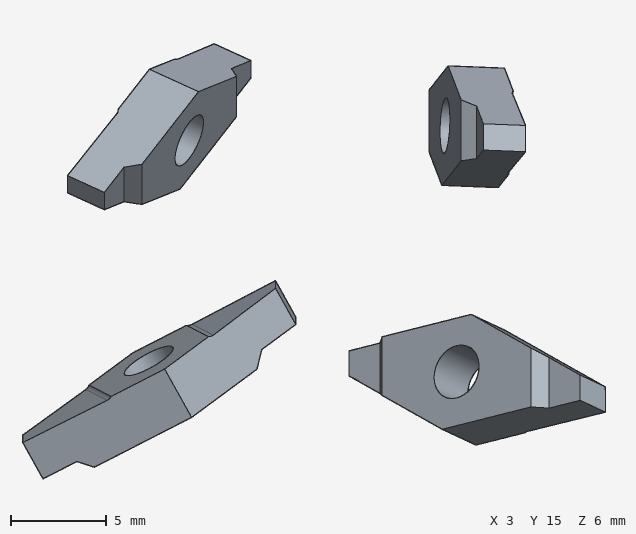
import cadquery as cq
import math

thickness = 3.0
length = 15.0
height = 6.0
flank_angle = 35.0
end_height = 1.41
hole_diameter = 2.91

ledge_x = 0.8
ledge_start = 5.49
shoulder_start = 4.83

step_angle = 17.5
step_distance = 3.03
step_width = 0.27
step_depth = 0.09
tip_depth = 0.05
tip_distance = 7.8
cut_reach = 9.0

half_thickness = thickness / 2
half_length = length / 2
half_height = height / 2


def make_body():
    """Plate with two vertical ends, flat top and bottom and two sloping flanks."""
    flank_run = (height - end_height) / math.tan(math.radians(flank_angle))
    flat_end = half_length - flank_run
    outline = [
        (-half_length, half_height),
        (flat_end, half_height),
        (half_length, -half_height + end_height),
        (half_length, -half_height),
        (-flat_end, -half_height),
        (-half_length, half_height - end_height),
    ]
    return (
        cq.Workplane("YZ", origin=(-half_thickness, 0, 0))
        .polyline(outline)
        .close()
        .extrude(thickness)
    )


def make_shoulder_cut():
    """Thins the +Y end from the +X side, with a sloping shoulder."""
    return (
        cq.Workplane("XY")
        .moveTo(half_thickness, shoulder_start)
        .lineTo(ledge_x, ledge_start)
        .lineTo(ledge_x, half_length)
        .lineTo(half_thickness, half_length)
        .close()
        .extrude(half_height, both=True)
    )


def make_relief_cut():
    """Shallow rising floor at the +Y end, joined to the -X face by a concave arc."""
    floor_slope = (step_depth - tip_depth) / (tip_distance - step_distance - step_width)
    floor_start = step_distance + step_width
    floor_end_depth = step_depth - floor_slope * (cut_reach - floor_start)
    radius = (step_width**2 + step_depth**2) / (2 * step_depth)
    half_sweep = math.asin(step_width / radius) / 2
    arc_middle = (
        -half_thickness + step_depth - radius * (1 - math.cos(half_sweep)),
        floor_start - radius * math.sin(half_sweep),
    )
    profile = (
        cq.Workplane("XY")
        .moveTo(-half_thickness, step_distance)
        .threePointArc(arc_middle, (-half_thickness + step_depth, floor_start))
        .lineTo(-half_thickness + floor_end_depth, cut_reach)
        .lineTo(-half_thickness, cut_reach)
        .close()
    )
    return profile.extrude(cut_reach, both=True).rotate((0, 0, 0), (1, 0, 0), -step_angle)


hole_sketch = cq.Workplane("YZ", origin=(-half_thickness, 0, 0)).circle(hole_diameter / 2)
hole = hole_sketch.extrude(thickness)

result = make_body().cut(hole)
for turn in (0, 180):
    for end_cut in (make_shoulder_cut(), make_relief_cut()):
        result = result.cut(end_cut.rotate((0, 0, 0), (1, 0, 0), turn))